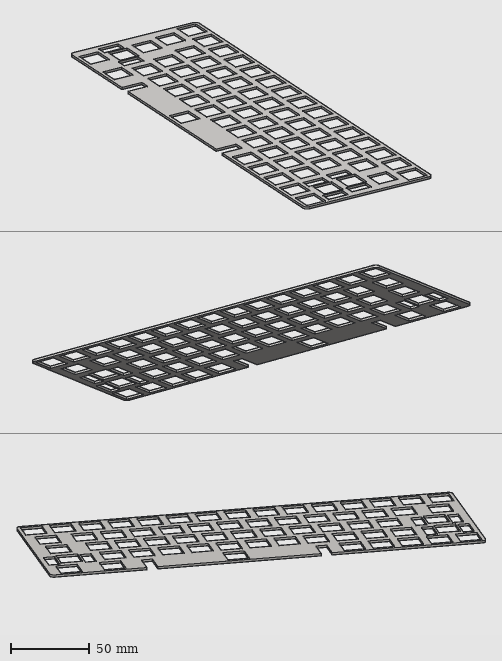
import cadquery as cq

plate_length = 285.8
key_columns = 15
key_rows = 5
key_pitch = plate_length / key_columns
plate_width = key_rows * key_pitch
plate_thickness = 1.6
corner_radius = 3.0

switch_cutout = 14.0

stabilizer_width = 7.1
stabilizer_height = 14.5
stabilizer_top_above_key = 5.5
wide_key_spread = 12.0
spacebar_spread = 3 * key_pitch

key_widths = [
    [1] * key_columns,
    [1.5] + [1] * 12 + [1.5],
    [1.75] + [1] * 11 + [2.25],
    [2] + [1] * 11 + [2],
    [1.5, 1.5, 7] + [1] * 5,
]
stabilized_key_width = 2
spacebar_key_width = 7


def row_keys(row, widths):
    """Return (x, y, width in key units) for each key in a row."""
    y = plate_width / 2 - (row + 0.5) * key_pitch
    left_edge = -plate_length / 2
    keys = []
    for width in widths:
        keys.append((left_edge + width * key_pitch / 2, y, width))
        left_edge += width * key_pitch
    return keys


def cut_openings(plate, centers, width, height):
    """Cut equal rectangular openings right through the plate."""
    return plate.cut(
        cq.Workplane("XY").pushPoints(centers).rect(width, height).extrude(plate_thickness)
    )


keys = []
for row, widths in enumerate(key_widths):
    keys += row_keys(row, widths)

plate = cq.Workplane("XY").rect(plate_length, plate_width).extrude(plate_thickness)
plate = plate.edges("|Z").fillet(corner_radius)

plate = cut_openings(plate, [(x, y) for x, y, _ in keys], switch_cutout, switch_cutout)

closed_centers = []
slot_centers = []
slot_height = stabilizer_top_above_key + key_pitch / 2
for x, y, width in keys:
    top = y + stabilizer_top_above_key
    for side in (-1, 1):
        if width == spacebar_key_width:
            slot_centers.append((x + side * spacebar_spread, top - slot_height / 2))
        elif width >= stabilized_key_width:
            closed_centers.append((x + side * wide_key_spread, top - stabilizer_height / 2))

plate = cut_openings(plate, closed_centers, stabilizer_width, stabilizer_height)
plate = cut_openings(plate, slot_centers, stabilizer_width, slot_height)

result = plate